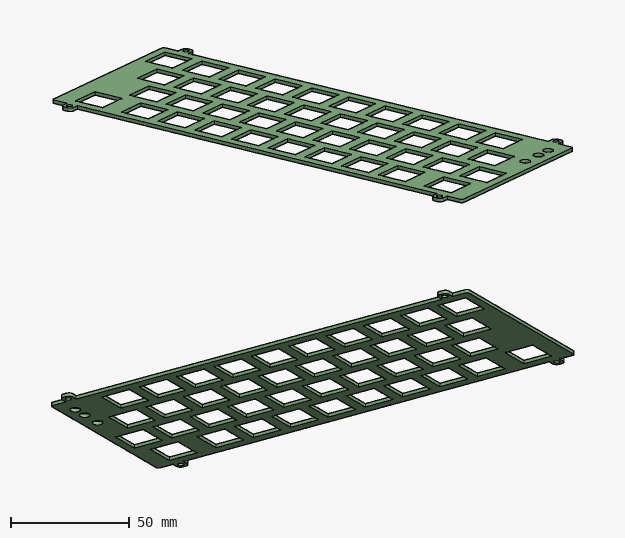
import cadquery as cq

plate_length = 212.8
plate_width = 80.0
plate_thickness = 1.6
plate_corner_radius = 1.0

keys_per_row = 10
layout_span = 190.5
key_pitch = layout_span / keys_per_row
key_opening = 14.0
first_key_x = -layout_span / 2

key_rows = [
    [column for column in range(keys_per_row)],
    [column + 0.5 for column in range(keys_per_row)],
    [column + 1 for column in range(keys_per_row)],
    [0.25] + [column + 0.5 for column in range(1, keys_per_row - 1)] + [9.75],
]

overall_width = 89.2
tab_width = 5.3
tab_corner_radius = 2.0
tab_center_x = 96.0
tab_hole_diameter = 2.5
tab_hole_y = (overall_width - tab_width) / 2

round_hole_diameter = 4.5
round_hole_x = 100.0
round_hole_ys = [30.9, 23.8, 14.3]


def make_rounded_block(length, width, corner_radius, center_x=0):
    """Block of plate thickness with rounded vertical edges."""
    return (
        cq.Workplane("XY")
        .center(center_x, 0)
        .rect(length, width)
        .extrude(plate_thickness)
        .edges("|Z")
        .fillet(corner_radius)
    )


def make_tab_pair(center_x):
    """Strip across the plate whose two ends are the front and back tabs."""
    return make_rounded_block(tab_width, overall_width, tab_corner_radius, center_x)


def make_key_cutters():
    centers = []
    for row, columns in enumerate(key_rows):
        y = ((len(key_rows) - 1) / 2 - row) * key_pitch
        centers += [(first_key_x + column * key_pitch, y) for column in columns]
    return (
        cq.Workplane("XY")
        .pushPoints(centers)
        .rect(key_opening, key_opening)
        .extrude(plate_thickness)
    )


def make_hole_cutters(centers, diameter):
    return cq.Workplane("XY").pushPoints(centers).circle(diameter / 2).extrude(plate_thickness)


tab_xs = (-tab_center_x, tab_center_x)
tab_holes = [(x, y) for x in tab_xs for y in (-tab_hole_y, tab_hole_y)]
round_holes = [(round_hole_x, y) for y in round_hole_ys]

result = make_rounded_block(plate_length, plate_width, plate_corner_radius)
for tab_x in tab_xs:
    result = result.union(make_tab_pair(tab_x))
result = (
    result.cut(make_key_cutters())
    .cut(make_hole_cutters(tab_holes, tab_hole_diameter))
    .cut(make_hole_cutters(round_holes, round_hole_diameter))
)